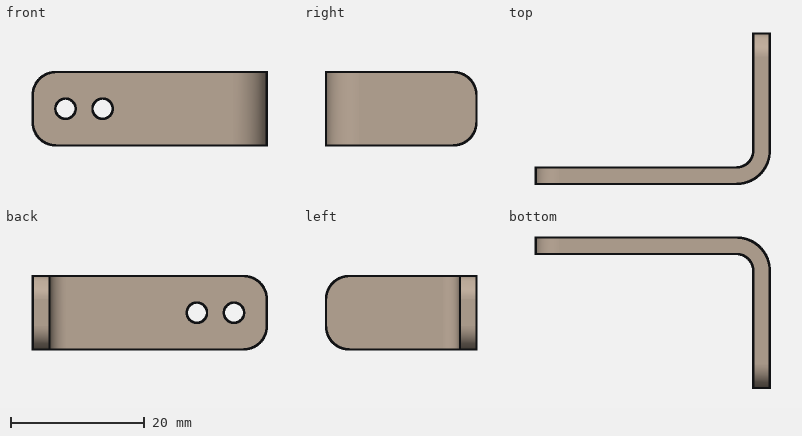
import cadquery as cq

long_leg = 35.0
short_leg = 22.5
strip_width = 11.0
thickness = 2.5
inner_bend_radius = 2.5
corner_radius = 3.5
hole_diameter = 3.0
first_hole_from_end = 4.92
hole_count = 2
hole_spacing = 5.54

outer_bend_radius = inner_bend_radius + thickness


def bent_strip():
    """L-shaped strip, standing on Z = 0, with a rounded bend at +X, -Y."""
    profile = (
        cq.Workplane("XY")
        .polyline([
            (0, 0),
            (long_leg, 0),
            (long_leg, short_leg),
            (long_leg - thickness, short_leg),
            (long_leg - thickness, thickness),
            (0, thickness),
        ])
        .close()
        .extrude(strip_width)
    )
    inner_corner = cq.selectors.NearestToPointSelector(
        (long_leg - thickness, thickness, strip_width / 2)
    )
    outer_corner = cq.selectors.NearestToPointSelector((long_leg, 0, strip_width / 2))
    return (
        profile
        .edges(inner_corner).fillet(inner_bend_radius)
        .edges(outer_corner).fillet(outer_bend_radius)
    )


def round_leg_ends(strip):
    """Round the two free corners of each leg."""
    return (
        strip
        .faces("<X").edges("|Y").fillet(corner_radius)
        .faces(">Y").edges("|X").fillet(corner_radius)
    )


def hole_cutters():
    """Round cutters along Y through the long leg, on its centre line."""
    centre_height = strip_width / 2
    centres = [
        (first_hole_from_end + i * hole_spacing, centre_height) for i in range(hole_count)
    ]
    return (
        cq.Workplane("XZ")
        .pushPoints(centres)
        .circle(hole_diameter / 2)
        .extrude(-thickness)
    )


result = round_leg_ends(bent_strip()).cut(hole_cutters())